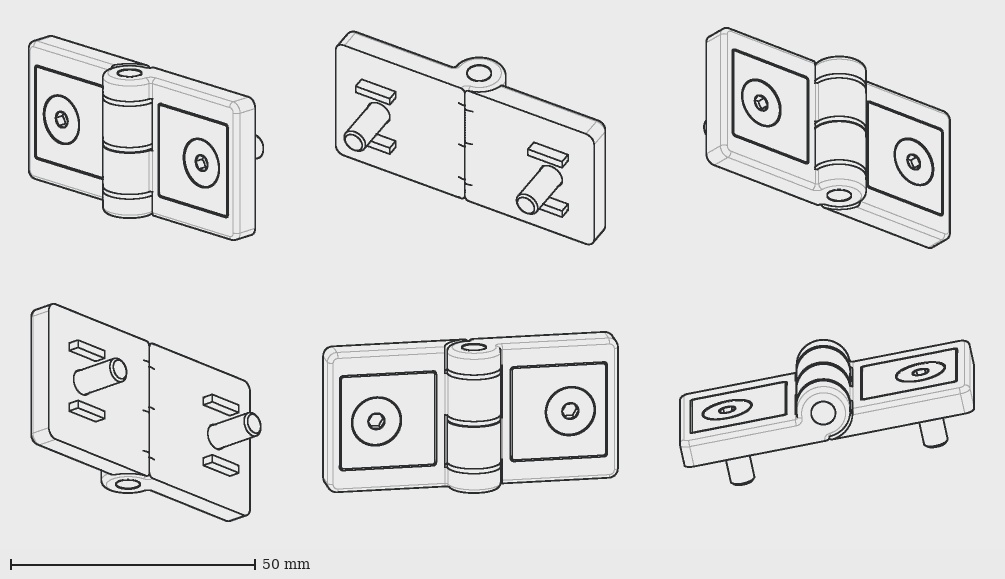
import cadquery as cq
import math


hinge_height = 29.8
hinge_width = 60.6
leaf_front = 0.5
leaf_thickness = 5.5
leaf_back = leaf_front + leaf_thickness
outer_x = hinge_width / 2
half_height = hinge_height / 2
corner_radius = 2.0
rim_fillet = 1.0
trim_allowance = 2.0

knuckle_radius = 5.5
root_radius = 0.5
clearance_radius = knuckle_radius + root_radius
end_knuckle_length = 4.4
bush_thickness = 1.0
mid_gap = 0.2
end_knuckle_base = half_height - end_knuckle_length
mid_knuckle_start = (bush_thickness + mid_gap) / 2
mid_knuckle_end = end_knuckle_base - bush_thickness
pin_diameter = 5.0
pin_end_recess = 0.2

screw_x = 20.2
screw_diameter = 5.0
screw_length = 16.0
tip_chamfer = 0.5
head_diameter = 10.0
head_land = 0.2
socket_across_corners = 3.46
socket_depth = 2.0
socket_cone_depth = socket_across_corners / 2 * math.tan(math.radians(30))
socket_mouth_depth = 0.1
screw_hole_diameter = 5.3
seat_diameter = head_diameter + 2 * head_land

recess_size = 20.2
recess_depth = 3.0
recess_corner_radius = 0.8
cover_gap = 0.35
cover_x = 17.8
cover_size = recess_size - 2 * cover_gap
cover_corner_radius = recess_corner_radius - cover_gap

lug_width = 8.0
lug_height = 1.65
lug_length = 2.5
lug_z = 6.67


def disc(radius, z_low, z_high):
    """Cylinder on the pin axis between two heights."""
    return cq.Workplane("XY").workplane(offset=z_low).circle(radius).extrude(z_high - z_low)


def square_plate(size, radius):
    """Square block with rounded corners, flush with the leaf front."""
    return (
        cq.Workplane("XY")
        .box(size, recess_depth, size)
        .edges("|Y")
        .fillet(radius)
        .translate((cover_x, leaf_front + recess_depth / 2, 0))
    )


def at_screw(shape):
    """Move a shape built on the Y axis onto the screw axis, with y = 0 on the leaf front."""
    return shape.translate((screw_x, leaf_front, 0))


def revolve_about_y(points):
    return cq.Workplane("XY").polyline(points).close().revolve(360, (0, 0, 0), (0, 1, 0))


def make_screw_hole():
    """Through hole with a conical seat for the screw head."""
    seat_radius = seat_diameter / 2
    hole_radius = screw_hole_diameter / 2
    return at_screw(revolve_about_y([
        (0, 0),
        (seat_radius, 0),
        (hole_radius, seat_radius - hole_radius),
        (hole_radius, leaf_thickness),
        (0, leaf_thickness),
    ]))


def make_leaf_blank():
    """Plate and full-height knuckle, with the rounded front rim, before the pockets are cut."""
    blank_back = leaf_back + trim_allowance
    cos_45 = math.sqrt(0.5)
    front_root_y = leaf_front - root_radius
    back_root_y = math.sqrt(clearance_radius**2 - root_radius**2)
    knuckle_share = knuckle_radius / clearance_radius
    back_root_middle = -math.atan2(back_root_y, root_radius) / 2
    blank = (
        cq.Workplane("XY")
        .workplane(offset=-half_height)
        .moveTo(0, blank_back)
        .lineTo(outer_x, blank_back)
        .lineTo(outer_x, leaf_front)
        .lineTo(clearance_radius, leaf_front)
        .threePointArc(
            (clearance_radius - root_radius * cos_45, front_root_y + root_radius * cos_45),
            (knuckle_radius, front_root_y),
        )
        .threePointArc(
            (-knuckle_radius * cos_45, -knuckle_radius * cos_45),
            (-root_radius * knuckle_share, back_root_y * knuckle_share),
        )
        .threePointArc(
            (
                -root_radius + root_radius * math.cos(back_root_middle),
                back_root_y + root_radius * math.sin(back_root_middle),
            ),
            (0, back_root_y),
        )
        .close()
        .extrude(hinge_height)
    )
    blank = blank.edges("|Y and >X").fillet(corner_radius)
    rim_edge = cq.selectors.NearestToPointSelector((outer_x / 2, leaf_front, half_height))
    blank = blank.edges(rim_edge).fillet(rim_fillet)
    trim = cq.Workplane("XY").box(2 * hinge_width, trim_allowance, 2 * hinge_height)
    return blank.cut(trim.translate((0, leaf_back + trim_allowance / 2, 0)))


def make_leaf():
    """Right-hand leaf, with the top knuckle and the knuckle just below mid-height."""
    leaf = make_leaf_blank()
    for z_low, z_high in [
        (-mid_knuckle_start, end_knuckle_base),
        (-half_height, -mid_knuckle_end),
    ]:
        leaf = leaf.cut(disc(clearance_radius, z_low, z_high))
    leaf = leaf.cut(disc(pin_diameter / 2, -half_height, half_height))
    leaf = leaf.cut(square_plate(recess_size, recess_corner_radius))
    leaf = leaf.cut(make_screw_hole())
    for side in (-1, 1):
        lug = cq.Workplane("XY").box(lug_width, lug_length, lug_height)
        leaf = leaf.union(lug.translate((screw_x, leaf_back + lug_length / 2, side * lug_z)))
    return leaf


def make_cover():
    return square_plate(cover_size, cover_corner_radius).cut(make_screw_hole())


def make_screw():
    """Countersunk screw with a hexagon socket, round at the mouth and ending in a drill cone."""
    head_radius = head_diameter / 2
    shank_radius = screw_diameter / 2
    screw = revolve_about_y([
        (0, 0),
        (head_radius, 0),
        (head_radius, head_land),
        (shank_radius, head_land + head_radius - shank_radius),
        (shank_radius, screw_length - tip_chamfer),
        (shank_radius - tip_chamfer, screw_length),
        (0, screw_length),
    ])
    socket_corner = socket_across_corners / 2
    hexagon = cq.Workplane("XZ").polygon(6, socket_across_corners).extrude(-2 * socket_depth)
    drill = revolve_about_y([
        (0, 0),
        (socket_corner, 0),
        (socket_corner, socket_depth),
        (0, socket_depth + socket_cone_depth),
    ])
    mouth = cq.Workplane("XZ").circle(socket_corner).extrude(-socket_mouth_depth)
    return at_screw(screw.cut(drill.intersect(hexagon)).cut(mouth))


def make_bush(z_low):
    """Plain ring around the pin, between two knuckles."""
    z_high = z_low + bush_thickness
    return disc(knuckle_radius, z_low, z_high).cut(disc(pin_diameter / 2, z_low, z_high))


pin_half_length = half_height - pin_end_recess
pin = disc(pin_diameter / 2, -pin_half_length, pin_half_length)

leaves = []
covers = []
screws = []
for turn in (0, 180):
    leaves.append(make_leaf().rotate((0, 0, 0), (0, 1, 0), turn))
    covers.append(make_cover().rotate((0, 0, 0), (0, 1, 0), turn))
    screws.append(make_screw().rotate((0, 0, 0), (0, 1, 0), turn))

bushes = []
for bush_base in (mid_knuckle_end, mid_knuckle_start - bush_thickness, -end_knuckle_base):
    bushes.append(make_bush(bush_base))

bodies = leaves + [pin] + bushes + covers + screws
result = cq.Compound.makeCompound([body.solids().val() for body in bodies])